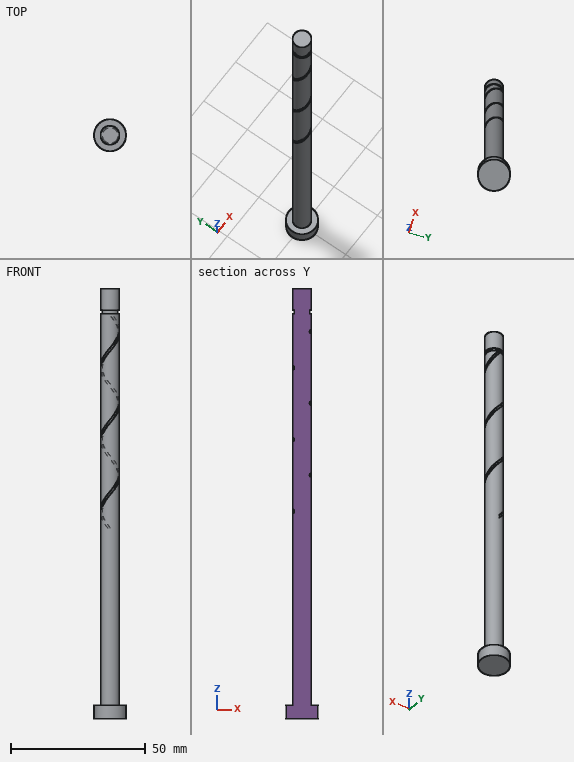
import cadquery as cq

total_length = 160.0
head_diameter = 12.0
head_height = 5.1
shaft_diameter = 7.0

neck_diameter = 6.0
neck_width = 1.3
tip_length = 8.0

groove_pitch = 26.7
groove_turns = 3
groove_radius = 0.6

shaft_radius = shaft_diameter / 2
neck_bottom = total_length - tip_length - neck_width
groove_length = groove_pitch * groove_turns
groove_bottom = neck_bottom - groove_length


def cylinder(diameter, bottom, height):
    return cq.Workplane("XY").workplane(offset=bottom).circle(diameter / 2).extrude(height)


def spiral_groove():
    """Round cutter swept along the shaft surface, starting on the +Y side."""
    path = cq.Wire.makeHelix(groove_pitch, groove_length, shaft_radius)
    cutter = (
        cq.Workplane("XZ")
        .center(shaft_radius, 0)
        .circle(groove_radius)
        .sweep(cq.Workplane(obj=path), isFrenet=True)
    )
    return cutter.rotate((0, 0, 0), (0, 0, 1), 90).translate((0, 0, groove_bottom))


head = cylinder(head_diameter, 0, head_height)
shaft = cylinder(shaft_diameter, head_height, neck_bottom - head_height)
neck = cylinder(neck_diameter, neck_bottom, neck_width)
tip = cylinder(shaft_diameter, neck_bottom + neck_width, tip_length)

result = head.union(shaft.cut(spiral_groove())).union(neck).union(tip)